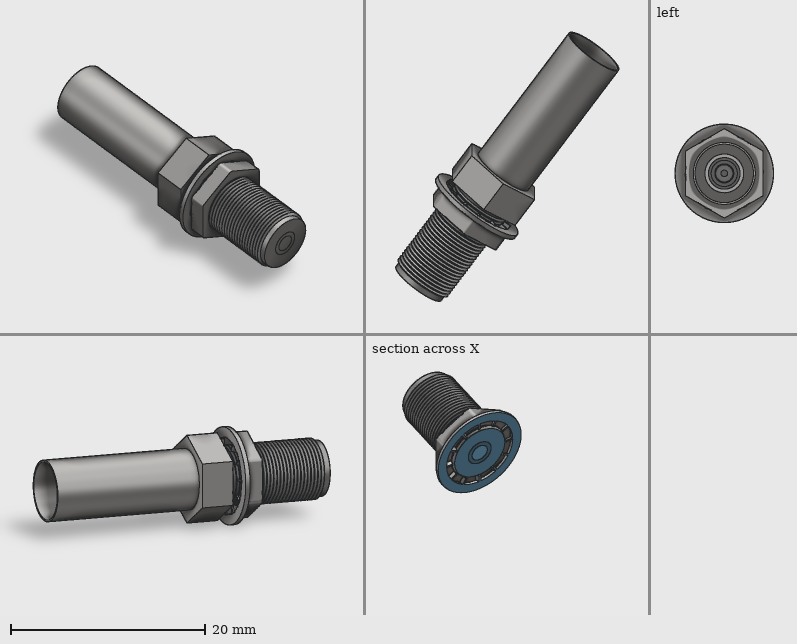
import cadquery as cq
import math


LENGTH = 30.68
STEM_START = 7.67
HEX_START = 15.85
HEX_END = 19.27
THREAD_START = 19.82
WASHER_START = 20.25
NUT_START = 20.9
NUT_LENGTH = 1.7

FERRULE_RADIUS = 3.2
FERRULE_WALL = 0.18

ACROSS_FLATS = 7.98
STEM_RADIUS = 2.0
STEM_BORE_RADIUS = 1.63
BODY_BORE_RADIUS = 1.35
CREST_RADIUS = 3.2
ROOT_RADIUS = 2.9
THREAD_LENGTH = 10.28
CREST_COUNT = 27
PITCH = THREAD_LENGTH / CREST_COUNT
RING_WIDTH = 0.35

RECESS_RADIUS = 0.98
RECESS_DEPTH = 0.6
CONTACT_RADIUS = 0.9
SOLDER_HOLE_RADIUS = 0.35
SOLDER_HOLE_DEPTH = 1.85

WASHER_DIAMETER = 10.15
WASHER_BORE_RADIUS = 4.0
WASHER_THICKNESS = 0.5
TOOTH_COUNT = 12
TOOTH_ROOT_RADIUS = 4.05
TOOTH_TIP_RADIUS = 3.25
TOOTH_WIDTH = 0.77
TOOTH_THICKNESS = 0.2
TOOTH_TWIST = 60.0

NUT_CORNER_RADIUS = 0.5


def cylinder(radius, start, end):
    """Solid cylinder on the connector axis from X = start to X = end."""
    return cq.Workplane("YZ", origin=(start, 0, 0)).circle(radius).extrude(end - start)


def hexagon(start, end):
    """Hexagonal prism on the connector axis with flats on +-Y and corners on +-Z."""
    corner_diameter = ACROSS_FLATS / math.cos(math.pi / 6)
    prism = cq.Workplane("YZ", origin=(start, 0, 0)).polygon(6, corner_diameter).extrude(end - start)
    return prism.rotate((0, 0, 0), (1, 0, 0), 30)


def make_ferrule():
    """Thin plain tube that butts against the rear face of the body hexagon."""
    bore = cylinder(FERRULE_RADIUS - FERRULE_WALL, 0, HEX_START)
    return cylinder(FERRULE_RADIUS, 0, HEX_START).cut(bore)


def make_threaded_barrel():
    """Barrel with the thread as a row of V-shaped rings separated by narrow root flats."""
    points = [(HEX_END, 0), (HEX_END, ROOT_RADIUS)]
    for ring in range(CREST_COUNT):
        ring_start = THREAD_START + ring * PITCH
        points.append((ring_start, ROOT_RADIUS))
        points.append((ring_start + RING_WIDTH / 2, CREST_RADIUS))
        points.append((ring_start + RING_WIDTH, ROOT_RADIUS))
    points += [(LENGTH, ROOT_RADIUS), (LENGTH, 0)]
    return cq.Workplane("XZ").polyline(points).close().revolve(360, (0, 0), (1, 0))


def make_body():
    """Crimp stem, hexagon and threaded barrel with a stepped bore right through."""
    body = make_threaded_barrel()
    body = body.union(hexagon(HEX_START, HEX_END))
    body = body.union(cylinder(STEM_RADIUS, STEM_START, HEX_START))
    body = body.cut(cylinder(STEM_BORE_RADIUS, STEM_START, HEX_START))
    return body.cut(cylinder(BODY_BORE_RADIUS, HEX_START, LENGTH))


def make_insulator():
    """Sleeve filling the body bore, recessed around the rear end of the contact."""
    sleeve = cylinder(BODY_BORE_RADIUS, HEX_START, LENGTH)
    sleeve = sleeve.cut(cylinder(RECESS_RADIUS, HEX_START, HEX_START + RECESS_DEPTH))
    return sleeve.cut(cylinder(CONTACT_RADIUS, HEX_START, LENGTH))


def make_contact():
    """Centre contact with a blind solder hole in its rear end."""
    hole = cylinder(SOLDER_HOLE_RADIUS, HEX_START, HEX_START + SOLDER_HOLE_DEPTH)
    return cylinder(CONTACT_RADIUS, HEX_START, LENGTH).cut(hole)


def make_lock_washer():
    """Flat ring with twisted teeth that point inward and stick out past both faces."""
    washer_end = WASHER_START + WASHER_THICKNESS
    washer = cylinder(WASHER_DIAMETER / 2, WASHER_START, washer_end)
    washer = washer.cut(cylinder(WASHER_BORE_RADIUS, WASHER_START, washer_end))
    middle = (WASHER_START + washer_end) / 2
    tooth_length = TOOTH_ROOT_RADIUS - TOOTH_TIP_RADIUS
    tooth = (
        cq.Workplane("XY")
        .box(TOOTH_THICKNESS, TOOTH_WIDTH, tooth_length)
        .rotate((0, 0, 0), (0, 0, 1), TOOTH_TWIST)
        .translate((middle, 0, (TOOTH_ROOT_RADIUS + TOOTH_TIP_RADIUS) / 2))
    )
    for number in range(TOOTH_COUNT):
        washer = washer.union(tooth.rotate((0, 0, 0), (1, 0, 0), number * 360 / TOOTH_COUNT))
    return washer


def make_nut():
    """Thin hexagon nut with rounded corners, bored to sit on the thread crests."""
    nut_end = NUT_START + NUT_LENGTH
    nut = hexagon(NUT_START, nut_end).edges("|X").fillet(NUT_CORNER_RADIUS)
    return nut.cut(cylinder(CREST_RADIUS, NUT_START, nut_end))


ferrule = make_ferrule()
body = make_body()
insulator = make_insulator()
contact = make_contact()
lock_washer = make_lock_washer()
nut = make_nut()

result = cq.Compound.makeCompound(
    [ferrule.val(), body.val(), insulator.val(), contact.val(), lock_washer.val(), nut.val()]
)